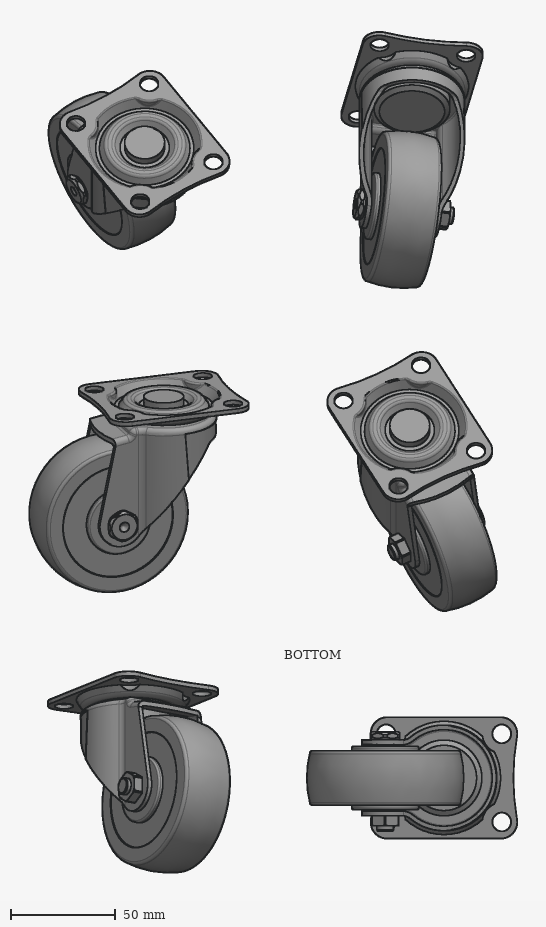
import cadquery as cq
import math


axle_x = -28.0
wheel_radius = 37.5
wheel_half_width = 13.1
tread_edge_radius = 36.1
tread_edge_fillet = 1.5
web_radius = 27.7
web_recess = 0.3
hub_radius = 16.0
hub_half_width = 15.2
hub_fillet = 0.9

shank_radius = 4.0
shank_end_y = 25.3
shank_end_chamfer = 0.5
head_height = 3.9
head_flat_distance = 7.0
head_corner_radius = 7.6
head_face_radius = 6.4
head_bevel_height = 1.4
center_mark_radius = 2.4
center_mark_depth = 2.0
nut_height = 4.8
nut_flat_distance = 6.5
nut_corner_radius = 7.3
nut_face_radius = 6.9
nut_bevel_height = 0.4

sheet = 2.2

plate_top = 55.5
plate_half_length = 35.0
plate_half_width = 28.99
plate_waist = 33.2
corner_radius = 7.9
hole_x = 27.5
hole_y = 21.0
hole_radius = 4.4
plate_bottom = plate_top - sheet

dish_floor = 50.9
dish_top_radius = 26.7
dish_floor_radius = 23.4
dish_bottom = dish_floor - sheet
dish_under_top_radius = 27.0
dish_under_bottom_radius = 24.0
dish_under_fillet = 4.0
dish_rim_fillet = 0.9
notch_radius = 10.5
notch_wall = 1.2
notch_blend = 1.0
ridge_foot_radius = 21.6
ridge_outer_radius = 18.9
ridge_inner_radius = 14.9
ridge_top = 54.7
ridge_fillet = 2.2
well_floor = 51.5
well_radius = 11.8
race_groove_inner = 15.1
race_groove_outer = 18.6
race_groove_top = ridge_top - sheet

kingpin_radius = 9.5
race_pad_bottom_radius = 18.1
race_pad_top_radius = 20.1

boss_radius = 18.1
boss_cone_top = 39.4
boss_end_radius = 15.6
boss_end_z = 37.8

crown_top = 47.3
skirt_radius = 25.2
leg_half_width = 18.1
leg_blend_radius = 5.0
crown_fillet = 2.9
crown_step_outer = 3.0
crown_step_inner = 1.5
crown_step_angle = 65
crown_front_x = -22.4
tongue_root_x = -23.9
tongue_root_z = 44.1
tongue_slope = math.tan(math.radians(9.0))
tongue_tip_x = -34.0
tongue_side_x = -31.1
leg_top_z = 39.8
leg_end_radius = 11.1
skirt_corner_x = 16.7
skirt_corner_z = 36.7
skirt_corner_fillet = 4.0
skirt_rear_z = 37.0
seam_top_x = 1.5
seam_lean = math.tan(math.radians(4.6))
seam_step = 0.3

beyond = 60.3


def disc_x_z(radius, y_start, y_end):
    """Cylinder around the wheel axle between two Y positions."""
    return (
        cq.Workplane("XZ", origin=(axle_x, y_start, 0))
        .circle(radius)
        .extrude(y_start - y_end)
    )


def around_axle(profile):
    """Turn a closed (radius, y) outline around the wheel axle."""
    return profile.close().revolve(360, (0, 0), (0, 1)).translate((axle_x, 0, 0))


def make_wheel():
    edge_y = wheel_half_width - tread_edge_fillet
    shoulder_radius = tread_edge_radius - tread_edge_fillet
    fillet_mid = tread_edge_fillet * math.sqrt(0.5)
    web_half_width = wheel_half_width - web_recess
    profile = (
        cq.Workplane("XY")
        .moveTo(0, -hub_half_width)
        .lineTo(hub_radius, -hub_half_width)
        .lineTo(hub_radius, -web_half_width)
        .lineTo(web_radius, -web_half_width)
        .lineTo(web_radius + web_recess, -wheel_half_width)
        .lineTo(shoulder_radius, -wheel_half_width)
        .threePointArc((shoulder_radius + fillet_mid, -edge_y - fillet_mid), (tread_edge_radius, -edge_y))
        .threePointArc((wheel_radius, 0), (tread_edge_radius, edge_y))
        .threePointArc((shoulder_radius + fillet_mid, edge_y + fillet_mid), (shoulder_radius, wheel_half_width))
        .lineTo(web_radius + web_recess, wheel_half_width)
        .lineTo(web_radius, web_half_width)
        .lineTo(hub_radius, web_half_width)
        .lineTo(hub_radius, hub_half_width)
        .lineTo(0, hub_half_width)
    )
    wheel = around_axle(profile)
    wheel = wheel.faces("<Y or >Y").edges().fillet(hub_fillet)
    return wheel.cut(disc_x_z(shank_radius, -beyond, beyond))


def hexagon(flat_distance, y_start, height):
    """Hexagonal prism around the axle with one corner straight up."""
    return (
        cq.Workplane("XZ", origin=(axle_x, y_start, 0))
        .polygon(6, 2 * flat_distance / math.cos(math.radians(30)))
        .extrude(-height)
        .rotate((axle_x, 0, 0), (axle_x, 1, 0), 30)
    )


def make_bolt():
    outer_y = -leg_half_width - head_height
    inner_y = -leg_half_width
    bevels = around_axle(
        cq.Workplane("XY")
        .moveTo(0, outer_y)
        .lineTo(head_face_radius, outer_y)
        .lineTo(head_corner_radius, outer_y + head_bevel_height)
        .lineTo(head_corner_radius, inner_y - head_bevel_height)
        .lineTo(head_face_radius, inner_y)
        .lineTo(0, inner_y)
    )
    head = hexagon(head_flat_distance, outer_y, head_height).intersect(bevels)
    shank = disc_x_z(shank_radius, inner_y, shank_end_y).faces(">Y").chamfer(shank_end_chamfer)
    center_mark = around_axle(
        cq.Workplane("XY")
        .moveTo(0, outer_y)
        .lineTo(center_mark_radius, outer_y)
        .lineTo(0, outer_y + center_mark_depth)
    )
    return head.union(shank).cut(center_mark)


def make_nut():
    inner_y = leg_half_width
    outer_y = leg_half_width + nut_height
    bevels = around_axle(
        cq.Workplane("XY")
        .moveTo(0, inner_y)
        .lineTo(nut_corner_radius, inner_y)
        .lineTo(nut_corner_radius, outer_y - nut_bevel_height)
        .lineTo(nut_face_radius, outer_y)
        .lineTo(0, outer_y)
    )
    nut = hexagon(nut_flat_distance, inner_y, nut_height).intersect(bevels)
    return nut.cut(disc_x_z(shank_radius, inner_y, outer_y))


def frustum(bottom_radius, bottom_z, top_radius, top_z):
    """Cone section around the swivel axis."""
    return (
        cq.Workplane("XZ")
        .moveTo(0, bottom_z)
        .lineTo(bottom_radius, bottom_z)
        .lineTo(top_radius, top_z)
        .lineTo(0, top_z)
        .close()
        .revolve(360, (0, 0), (0, 1))
    )


def posts(radius):
    """Cylinders through the plate on the four mounting-hole centres."""
    return (
        cq.Workplane("XY")
        .rect(2 * hole_x, 2 * hole_y, forConstruction=True)
        .vertices()
        .circle(radius)
        .extrude(beyond)
    )


def plate_slab():
    """Flat plate with round corners whose short sides bow inward, tangent to the corner arcs."""
    corner_x = plate_half_length - corner_radius
    corner_y = plate_half_width - corner_radius
    waist_gap = plate_waist - corner_x
    bow_radius = (waist_gap**2 + corner_y**2 - corner_radius**2) / (2 * (corner_radius - waist_gap))
    bow_center = plate_waist + bow_radius
    share = corner_radius / (corner_radius + bow_radius)
    join_x = corner_x + (bow_center - corner_x) * share
    join_y = corner_y - corner_y * share
    mid_angle = (math.pi / 2 - math.atan2(corner_y, bow_center - corner_x)) / 2
    mid_x = corner_x + corner_radius * math.cos(mid_angle)
    mid_y = corner_y + corner_radius * math.sin(mid_angle)
    return (
        cq.Workplane("XY", origin=(0, 0, plate_bottom))
        .moveTo(-corner_x, plate_half_width)
        .lineTo(corner_x, plate_half_width)
        .threePointArc((mid_x, mid_y), (join_x, join_y))
        .threePointArc((plate_waist, 0), (join_x, -join_y))
        .threePointArc((mid_x, -mid_y), (corner_x, -plate_half_width))
        .lineTo(-corner_x, -plate_half_width)
        .threePointArc((-mid_x, -mid_y), (-join_x, -join_y))
        .threePointArc((-plate_waist, 0), (-join_x, join_y))
        .threePointArc((-mid_x, mid_y), (-corner_x, plate_half_width))
        .close()
        .extrude(sheet)
    )


def make_plate():
    dish_under = frustum(dish_under_bottom_radius, dish_bottom, dish_under_top_radius, plate_bottom)
    dish_under = dish_under.faces("<Z").edges().fillet(dish_under_fillet)
    dish_under = dish_under.cut(posts(notch_radius - notch_wall))
    hollow = frustum(dish_floor_radius, dish_floor, dish_top_radius, plate_top).cut(posts(notch_radius))
    hollow = hollow.edges("%BSPLINE").fillet(notch_blend)
    plate = plate_slab().union(dish_under.intersect(frustum(beyond, dish_bottom, beyond, plate_bottom))).cut(hollow)
    within_rim = cq.selectors.BoxSelector(
        (-dish_top_radius, -dish_top_radius, dish_floor), (dish_top_radius, dish_top_radius, beyond)
    )
    plate = plate.faces(">Z").edges(within_rim).fillet(dish_rim_fillet)
    ridge = frustum(ridge_foot_radius, dish_floor, ridge_outer_radius, ridge_top)
    ridge = ridge.cut(frustum(well_radius, well_floor, ridge_inner_radius, ridge_top))
    ridge = ridge.faces(">Z").edges().fillet(ridge_fillet)
    race_groove = frustum(race_groove_outer, dish_bottom, race_groove_outer, race_groove_top).cut(
        frustum(race_groove_inner, dish_bottom, race_groove_inner, race_groove_top)
    )
    bore = frustum(kingpin_radius, dish_bottom, kingpin_radius, plate_top)
    return plate.union(ridge).cut(race_groove).cut(bore).cut(posts(hole_radius))


def fork_envelope(inset):
    """Solid bounded by the fork's outer surface moved inward by `inset`."""
    radius = skirt_radius - inset
    half_width = leg_half_width - inset
    blend_center_y = leg_half_width + leg_blend_radius
    blend_center_x = -math.sqrt((skirt_radius + leg_blend_radius) ** 2 - blend_center_y**2)
    share = radius / (skirt_radius + leg_blend_radius)
    blend_end_x = blend_center_x * share
    blend_end_y = blend_center_y * share
    blend_radius = leg_blend_radius + inset
    blend_angle = math.atan2(-blend_center_x, blend_center_y) / 2
    blend_mid_x = blend_center_x + blend_radius * math.sin(blend_angle)
    blend_mid_y = blend_center_y - blend_radius * math.cos(blend_angle)
    plan = (
        cq.Workplane("XY", origin=(0, 0, -beyond))
        .moveTo(-beyond, half_width)
        .lineTo(blend_center_x, half_width)
        .threePointArc((blend_mid_x, blend_mid_y), (blend_end_x, blend_end_y))
        .threePointArc((radius, 0), (blend_end_x, -blend_end_y))
        .threePointArc((blend_mid_x, -blend_mid_y), (blend_center_x, -half_width))
        .lineTo(-beyond, -half_width)
        .close()
        .extrude(2 * beyond)
    )
    tongue_end_z = tongue_root_z - (tongue_root_x + beyond) * tongue_slope
    step_shift = inset * math.tan(math.radians(crown_step_angle / 2))
    roof = (
        cq.Workplane("XZ")
        .moveTo(beyond, -beyond)
        .lineTo(beyond, crown_top - inset)
        .lineTo(crown_front_x + step_shift, crown_top - inset)
        .lineTo(tongue_root_x + step_shift, tongue_root_z - inset)
        .lineTo(-beyond, tongue_end_z - inset)
        .lineTo(-beyond, -beyond)
        .close()
        .extrude(beyond, both=True)
    )
    roof = roof.edges(cq.NearestToPointSelector((crown_front_x, 0, crown_top))).fillet(crown_step_outer - inset)
    roof = roof.edges(cq.NearestToPointSelector((tongue_root_x, 0, tongue_root_z))).fillet(crown_step_inner + inset)
    envelope = plan.intersect(roof)
    return envelope.faces(">Z").edges("%CIRCLE").fillet(crown_fillet - inset)


def leg_tangent_point(x, z, side):
    """Touching point, on the leg's round end, of the line from (x, z); side -1 is left, 1 is right."""
    reach = math.hypot(x - axle_x, z)
    angle = math.atan2(z, x - axle_x) - side * math.acos(leg_end_radius / reach)
    return axle_x + leg_end_radius * math.cos(angle), leg_end_radius * math.sin(angle)


def fork_side():
    """Side outline of the fork, extruded over its full width."""
    front_tangent = leg_tangent_point(tongue_side_x, leg_top_z, -1)
    rear_tangent = leg_tangent_point(skirt_corner_x, skirt_corner_z, 1)
    outline = (
        cq.Workplane("XZ")
        .moveTo(-beyond, leg_top_z)
        .lineTo(tongue_side_x, leg_top_z)
        .lineTo(*front_tangent)
        .threePointArc((axle_x, -leg_end_radius), rear_tangent)
        .lineTo(skirt_corner_x, skirt_corner_z)
        .lineTo(skirt_radius, skirt_rear_z)
        .lineTo(beyond, skirt_rear_z)
        .lineTo(beyond, beyond)
        .lineTo(-beyond, beyond)
        .close()
        .extrude(beyond, both=True)
    )
    corner = cq.NearestToPointSelector((skirt_corner_x, 0, skirt_corner_z))
    return outline.edges(corner).fillet(skirt_corner_fillet)


def tongue_front():
    """Block ending in the tongue's bowed front edge."""
    return (
        cq.Workplane("XY", origin=(0, 0, -beyond))
        .moveTo(tongue_side_x, -leg_half_width)
        .threePointArc((tongue_tip_x, 0), (tongue_side_x, leg_half_width))
        .lineTo(tongue_side_x, beyond)
        .lineTo(beyond, beyond)
        .lineTo(beyond, -beyond)
        .lineTo(tongue_side_x, -beyond)
        .close()
        .extrude(2 * beyond)
    )


def seam_recess():
    """Thin shell that sets the rear of the skirt back behind a leaning seam."""
    shell_radius = skirt_radius - seam_step
    ledge_z = crown_top - crown_fillet
    shell = frustum(beyond, -beyond, beyond, ledge_z).cut(frustum(shell_radius, -beyond, shell_radius, ledge_z))
    rear = (
        cq.Workplane("XZ")
        .moveTo(seam_top_x, crown_top)
        .lineTo(beyond, crown_top)
        .lineTo(beyond, 0)
        .lineTo(seam_top_x + crown_top * seam_lean, 0)
        .close()
        .extrude(beyond, both=True)
    )
    return shell.intersect(rear)


def make_fork():
    shell = fork_envelope(0).cut(fork_envelope(sheet)).intersect(fork_side())
    shell = shell.cut(
        cq.Workplane("XY", origin=(0, 0, leg_top_z))
        .rect(2 * beyond, 2 * beyond)
        .extrude(beyond)
        .cut(tongue_front())
    )
    race_pad = frustum(race_pad_bottom_radius, crown_top, race_pad_top_radius, dish_bottom)
    kingpin = frustum(kingpin_radius, crown_top - sheet, kingpin_radius, plate_top)
    boss = frustum(boss_radius, boss_cone_top, boss_radius, crown_top - sheet)
    boss = boss.union(frustum(boss_end_radius, boss_end_z, boss_radius, boss_cone_top))
    axle_hole = disc_x_z(shank_radius, -leg_half_width, leg_half_width)
    return shell.cut(seam_recess()).union(race_pad).union(kingpin).union(boss).cut(axle_hole)


plate = make_plate()
fork = make_fork()
wheel = make_wheel()
bolt = make_bolt()
nut = make_nut()

result = cq.Compound.makeCompound([plate.val(), fork.val(), wheel.val(), bolt.val(), nut.val()])